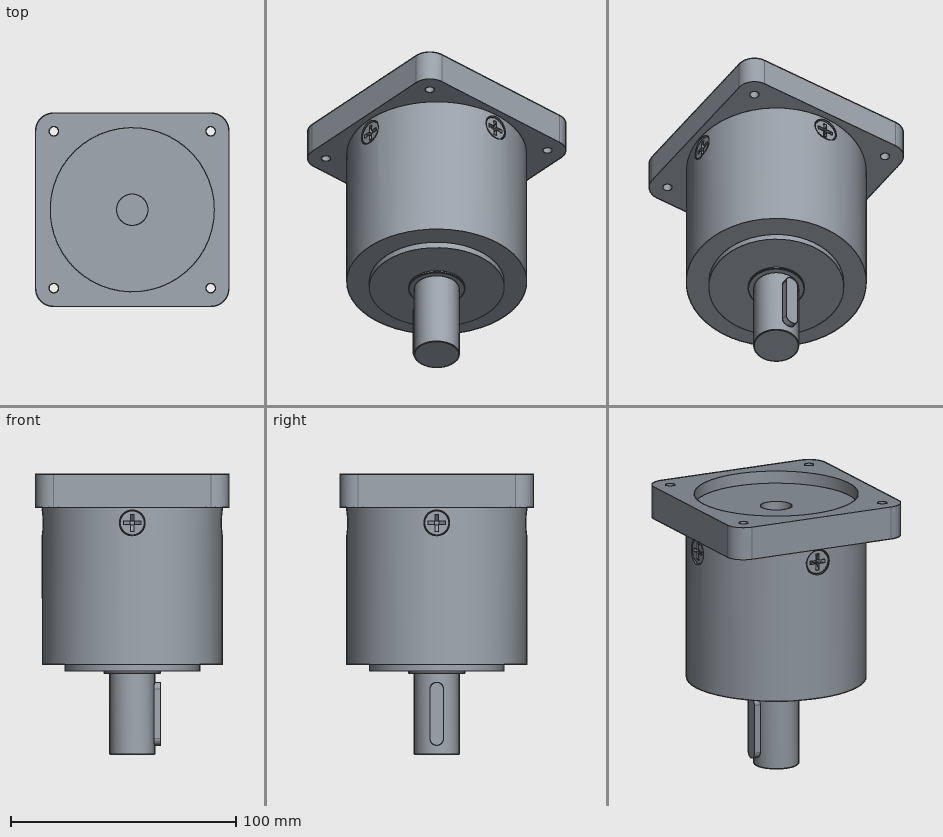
import cadquery as cq

total_height = 124.5
flange_side = 86.0
flange_thickness = 14.8
flange_corner_radius = 8.1
bolt_spacing = 69.7
bolt_hole_diameter = 4.1

pilot_diameter = 73.0
pilot_depth = 5.6
input_bore_diameter = 14.0
input_bore_depth = 29.9

body_diameter = 80.0
body_height = 69.7
pilot_boss_diameter = 60.0
pilot_boss_height = 3.0
collar_diameter = 25.0
collar_height = 1.0
collar_chamfer = 0.2

shaft_diameter = 20.0
shaft_chamfer = 0.2
key_length = 28.0
key_width = 6.0
key_end_gap = 4.0
key_top_offset = 12.6
key_seat_offset = 6.5

screw_hole_diameter = 11.5
screw_head_diameter = 10.7
screw_gap_depth = 1.0
screw_center_drop = 6.8
screw_face_offset = 39.3
cross_span = 7.6
cross_slot_width = 1.5
cross_depth = 3.0
cross_center_diameter = 1.9
screw_angles = (0, 90, 180, 270)

flange_top = total_height
flange_bottom = flange_top - flange_thickness
body_bottom = flange_bottom - body_height
boss_bottom = body_bottom - pilot_boss_height
collar_bottom = boss_bottom - collar_height
screw_center_height = flange_bottom - screw_center_drop


def cylinder(diameter, bottom, top):
    """Solid cylinder on the Z axis between two heights."""
    return cq.Workplane("XY").workplane(offset=bottom).circle(diameter / 2).extrude(top - bottom)


def make_flange():
    return (
        cq.Workplane("XY")
        .workplane(offset=flange_bottom)
        .rect(flange_side, flange_side)
        .extrude(flange_thickness)
        .edges("|Z")
        .fillet(flange_corner_radius)
        .faces(">Z")
        .workplane()
        .rect(bolt_spacing, bolt_spacing, forConstruction=True)
        .vertices()
        .hole(bolt_hole_diameter)
    )


def make_collar():
    return cylinder(collar_diameter, collar_bottom, boss_bottom).faces("<Z").chamfer(collar_chamfer)


def make_shaft():
    return cylinder(shaft_diameter, 0, boss_bottom).faces("<Z").chamfer(shaft_chamfer)


def make_key():
    """Round-ended key standing along the shaft and pointing to +X."""
    return (
        cq.Workplane("YZ")
        .workplane(offset=key_seat_offset)
        .center(0, key_end_gap + key_length / 2)
        .slot2D(key_length, key_width, 90)
        .extrude(key_top_offset - key_seat_offset)
    )


def make_cross_arm_pair():
    """Slot whose floor slopes from both ends down to the screw centre, on the +X side."""
    half_span = cross_span / 2
    half_center = cross_center_diameter / 2
    floor_offset = screw_face_offset - cross_depth
    return (
        cq.Workplane("XY")
        .polyline([
            (screw_face_offset, -half_span),
            (floor_offset, -half_center),
            (floor_offset, half_center),
            (screw_face_offset, half_span),
        ])
        .close()
        .extrude(cross_slot_width / 2, both=True)
    )


def make_screw_recess():
    """Round recess, thin ring gap around the screw head and cross in its face, on the +X side."""
    hole = (
        cq.Workplane("YZ")
        .workplane(offset=screw_face_offset)
        .circle(screw_hole_diameter / 2)
        .extrude(body_diameter / 2 - screw_face_offset)
    )
    ring_gap = (
        cq.Workplane("YZ")
        .workplane(offset=screw_face_offset - screw_gap_depth)
        .circle(screw_hole_diameter / 2)
        .circle(screw_head_diameter / 2)
        .extrude(body_diameter / 2 - screw_face_offset + screw_gap_depth)
    )
    center = (
        cq.Workplane("YZ")
        .workplane(offset=screw_face_offset - cross_depth)
        .circle(cross_center_diameter / 2)
        .extrude(cross_depth)
    )
    level_arms = make_cross_arm_pair()
    upright_arms = level_arms.rotate((0, 0, 0), (1, 0, 0), 90)
    recess = hole.union(ring_gap).union(level_arms).union(upright_arms).union(center)
    return recess.translate((0, 0, screw_center_height))


result = (
    make_flange()
    .union(cylinder(body_diameter, body_bottom, flange_bottom))
    .union(cylinder(pilot_boss_diameter, boss_bottom, body_bottom))
    .union(make_collar())
    .union(make_shaft())
    .union(make_key())
)

result = result.cut(cylinder(pilot_diameter, flange_top - pilot_depth, flange_top))
result = result.cut(cylinder(input_bore_diameter, flange_top - input_bore_depth, flange_top))

screw_recess = make_screw_recess()
for angle in screw_angles:
    result = result.cut(screw_recess.rotate((0, 0, 0), (0, 0, 1), angle))